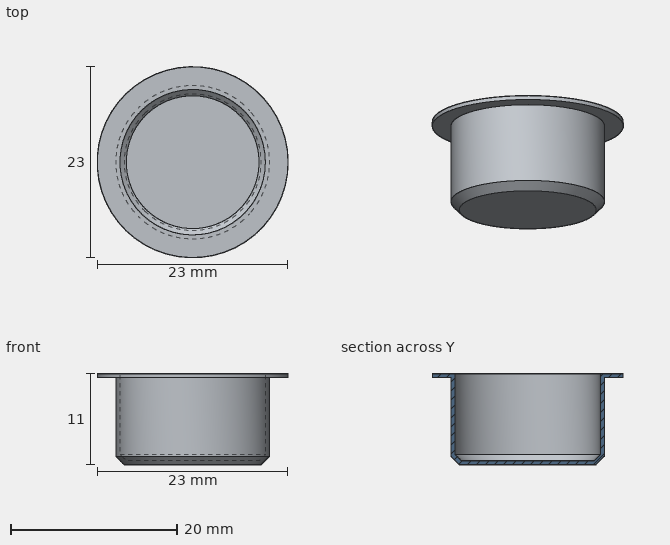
import cadquery as cq

flange_diameter = 23.0
flange_thickness = 0.5
total_height = 11.0
body_diameter = 18.5
bore_diameter = 17.5
floor_thickness = 0.5
outer_chamfer = 1.01
inner_chamfer = 0.75


def make_body():
    """Solid cylinder with its bottom edge chamfered."""
    body = cq.Workplane("XY").circle(body_diameter / 2).extrude(total_height)
    return body.faces("<Z").chamfer(outer_chamfer)


def make_flange():
    """Thin disc flush with the top of the body."""
    flange = cq.Workplane("XY").workplane(offset=total_height - flange_thickness)
    return flange.circle(flange_diameter / 2).extrude(flange_thickness)


def make_cavity():
    """Round cavity that narrows in a chamfer just above the floor."""
    cavity = cq.Workplane("XY").workplane(offset=floor_thickness)
    cavity = cavity.circle(bore_diameter / 2).extrude(total_height - floor_thickness)
    return cavity.faces("<Z").chamfer(inner_chamfer)


result = make_body().union(make_flange()).cut(make_cavity())